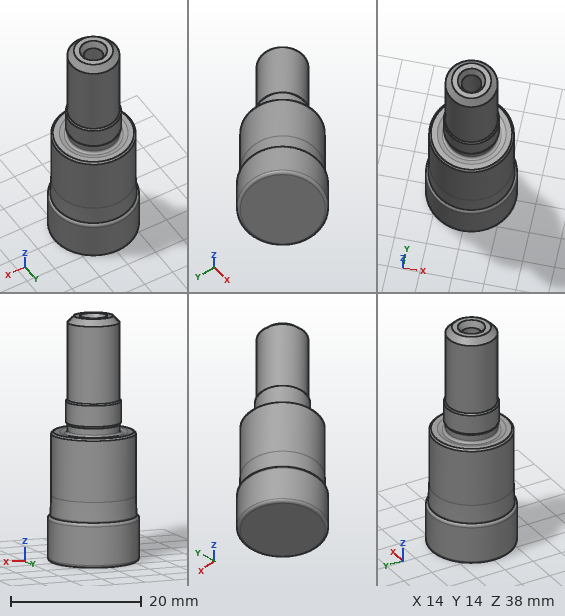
import cadquery as cq
import math

total_height = 38.0
head_top_z = 7.0
taper_bottom_z = 7.2
taper_top_z = 10.2
shoulder_z = 20.0
collar_bottom_z = 21.5
collar_top_z = 25.0

shank_radius = 8.0 / 2
collar_radius = 8.5 / 2
body_radius = 13.0 / 2
taper_radius = 13.25 / 2
head_radius = 14.0 / 2

shank_tip_chamfer = 1.0
collar_chamfer = collar_radius - shank_radius
body_chamfer = 0.3
head_fillet = 0.5
collar_undercut_height = 0.35

relief_outer_radius = 10.5 / 2
relief_inner_radius = 9.0 / 2
relief_angle = math.radians(15)
relief_fillet = 0.4

hole_radius = 3.0 / 2
countersink_radius = 4.2 / 2
countersink_half_angle = math.radians(30)
hole_depth = 8.0
drill_point_half_angle = math.radians(59)


def turned_body():
    """Revolve the outer half-profile about Z."""
    relief_floor_z = shoulder_z - (relief_outer_radius - relief_inner_radius) * math.tan(relief_angle)
    fillet_centre_radius = shank_radius + relief_fillet
    fillet_centre_z = relief_floor_z + relief_fillet * math.cos(relief_angle)
    fillet_mid_angle = math.pi + (math.pi / 2 + relief_angle) / 2
    fillet_mid = (
        fillet_centre_radius + relief_fillet * math.cos(fillet_mid_angle),
        fillet_centre_z + relief_fillet * math.sin(fillet_mid_angle),
    )
    fillet_start_radius = head_radius - head_fillet
    fillet_end_drop = head_fillet - math.sqrt(head_fillet**2 - (taper_radius - fillet_start_radius) ** 2)
    fillet_end_z = head_top_z - fillet_end_drop
    profile = (
        cq.Workplane("XZ")
        .moveTo(0, 0)
        .lineTo(fillet_start_radius, 0)
        .radiusArc((head_radius, head_fillet), -head_fillet)
        .lineTo(head_radius, head_top_z - head_fillet)
        .radiusArc((taper_radius, fillet_end_z), -head_fillet)
        .lineTo(taper_radius, taper_bottom_z)
        .lineTo(body_radius, taper_top_z)
        .lineTo(body_radius, shoulder_z - body_chamfer)
        .lineTo(body_radius - body_chamfer, shoulder_z)
        .lineTo(relief_outer_radius, shoulder_z)
        .lineTo(fillet_centre_radius + relief_fillet * math.sin(relief_angle), relief_floor_z)
        .threePointArc(fillet_mid, (shank_radius, fillet_centre_z))
        .lineTo(shank_radius, collar_bottom_z - collar_undercut_height)
        .lineTo(collar_radius, collar_bottom_z)
        .lineTo(collar_radius, collar_top_z - collar_chamfer)
        .lineTo(shank_radius, collar_top_z)
        .lineTo(shank_radius, total_height - shank_tip_chamfer)
        .lineTo(shank_radius - shank_tip_chamfer, total_height)
        .lineTo(0, total_height)
        .close()
    )
    return profile.revolve()


def centre_hole():
    """Countersunk blind hole with a drill point, as a solid to cut away."""
    countersink_depth = (countersink_radius - hole_radius) / math.tan(countersink_half_angle)
    point_height = hole_radius / math.tan(drill_point_half_angle)
    hole_floor_z = total_height - hole_depth
    profile = (
        cq.Workplane("XZ")
        .moveTo(0, total_height)
        .lineTo(countersink_radius, total_height)
        .lineTo(hole_radius, total_height - countersink_depth)
        .lineTo(hole_radius, hole_floor_z)
        .lineTo(0, hole_floor_z - point_height)
        .close()
    )
    return profile.revolve()


result = turned_body().cut(centre_hole())